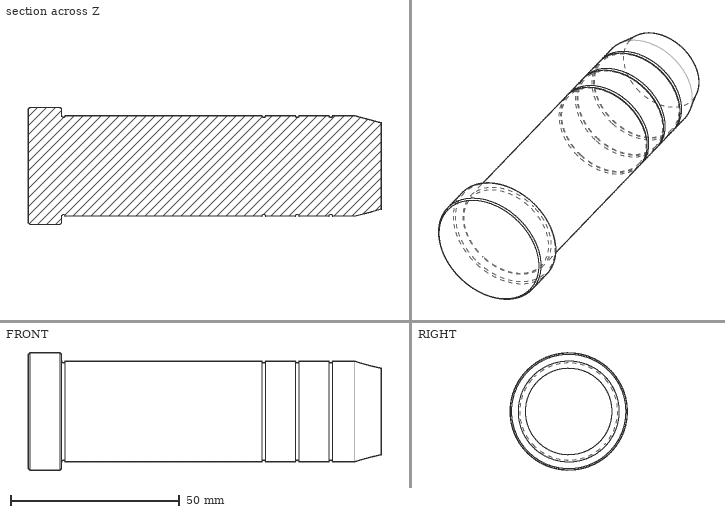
import cadquery as cq
import math

total_length = 105.0
head_diameter = 35.0
head_length = 10.0
head_chamfer = 0.47
shank_diameter = 30.0

lead_length = 8.0
lead_angle = 15.0

groove_radius = 0.5
first_groove_x = 70.0
groove_pitch = 10.0
shank_groove_count = 3

shank_radius = shank_diameter / 2
lead_end_radius = shank_radius - lead_length * math.tan(math.radians(lead_angle))


def make_head():
    """Flat disc with both rims chamfered."""
    disc = cq.Workplane("YZ").circle(head_diameter / 2).extrude(head_length)
    return disc.edges().chamfer(head_chamfer)


def make_shank():
    """Solid cylinder ending in the conical lead-in."""
    profile = (
        cq.Workplane("XY")
        .lineTo(0, shank_radius)
        .lineTo(total_length - lead_length, shank_radius)
        .lineTo(total_length, lead_end_radius)
        .lineTo(total_length, 0)
        .close()
    )
    return profile.revolve(360, (0, 0, 0), (1, 0, 0))


def make_groove_ring(center_x):
    """Round-section ring whose section is centred on the shank surface."""
    section = cq.Workplane("XY").center(center_x, shank_radius).circle(groove_radius)
    return section.revolve(360, (0, -shank_radius, 0), (1, -shank_radius, 0))


groove_positions = [head_length + groove_radius]
for index in range(shank_groove_count):
    groove_positions.append(first_groove_x + index * groove_pitch)

shank = make_shank()
for groove_x in groove_positions:
    shank = shank.cut(make_groove_ring(groove_x))

result = make_head().union(shank)